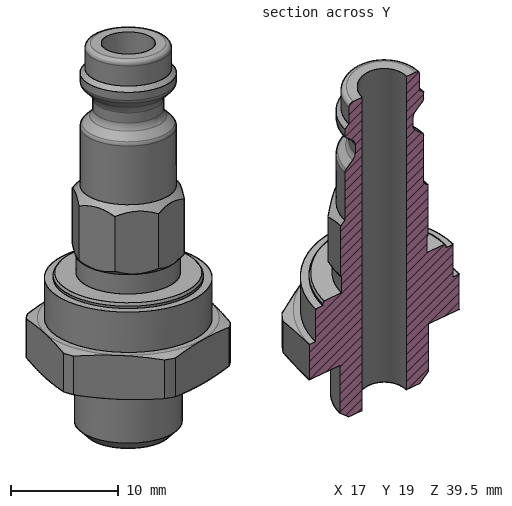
import cadquery as cq
import math

total_height = 39.5
hex_bottom = 7.0
hex_top = 11.5
collar_top = 15.6
ring_top = 16.1
octagon_bottom = 18.1
plug_bottom = 25.05
groove_bottom = 32.43
groove_top = 34.3
lip_top = 36.95

bore_diameter = 5.0
groove_diameter = 6.6
tip_diameter = 8.05
plug_diameter = 8.95
neck_diameter = 9.7
thread_diameter = 10.05
ring_diameter = 14.0
collar_diameter = 15.6

octagon_across_flats = 9.9
hex_across_flats = 17.0
hex_corner_diameter = 19.0
hex_chamfer_start_diameter = 16.9
hex_chamfer_angle = 15.0

thread_chamfer = 1.0
ring_chamfer_width = 0.15
ring_chamfer_height = 0.28
tip_round = 0.5
lip_chamfer_height = 0.45
groove_edge_round = 0.5
groove_root_round = 1.0


def cylinder(diameter, bottom, top):
    return cq.Workplane("XY").workplane(offset=bottom).circle(diameter / 2).extrude(top - bottom)


def prism(sides, across_flats, bottom, top):
    """Regular prism with flats facing +X and -X."""
    corner_diameter = across_flats / math.cos(math.pi / sides)
    blank = cq.Workplane("XY").workplane(offset=bottom).polygon(sides, corner_diameter)
    return blank.extrude(top - bottom).rotate((0, 0, 0), (0, 0, 1), 180 / sides)


def revolve_profile(points):
    """Solid of revolution about Z from (radius, height) points."""
    return cq.Workplane("XZ").polyline(points).close().revolve(360, (0, 0), (0, 1))


def double_cone(bottom_diameter, bottom, bottom_rise, middle_radius, top_diameter, top, top_drop):
    """Turned envelope that tapers at both ends."""
    return revolve_profile([
        (0, bottom),
        (bottom_diameter / 2, bottom),
        (middle_radius, bottom + bottom_rise),
        (middle_radius, top - top_drop),
        (top_diameter / 2, top),
        (0, top),
    ])


def make_thread_end():
    return cylinder(thread_diameter, 0, hex_bottom).faces("<Z").chamfer(thread_chamfer)


def make_hex():
    radial_width = (hex_corner_diameter - hex_chamfer_start_diameter) / 2
    rise = radial_width * math.tan(math.radians(hex_chamfer_angle))
    envelope = double_cone(
        hex_chamfer_start_diameter, hex_bottom, rise,
        hex_corner_diameter / 2,
        hex_chamfer_start_diameter, hex_top, rise,
    )
    return prism(6, hex_across_flats, hex_bottom, hex_top).intersect(envelope)


def make_collar():
    collar = cylinder(collar_diameter, hex_top, collar_top)
    ring = cylinder(ring_diameter, collar_top, ring_top)
    ring = ring.faces(">Z").edges().chamfer(ring_chamfer_height, ring_chamfer_width)
    return collar.union(ring)


def make_octagon():
    """Octagon with 45 degree cones: down to the neck below and to the plug above."""
    corner_radius = octagon_across_flats / 2 / math.cos(math.pi / 8)
    bottom_rise = corner_radius - neck_diameter / 2
    top_drop = corner_radius - plug_diameter / 2
    envelope = double_cone(
        neck_diameter, octagon_bottom, bottom_rise,
        corner_radius,
        plug_diameter, plug_bottom, top_drop,
    )
    return prism(8, octagon_across_flats, octagon_bottom, plug_bottom).intersect(envelope)


def rounded_at(plug, diameter, height, radius):
    """Round the circular edge of the given diameter and height."""
    slack = 0.05
    reach = diameter / 2 + slack
    box = cq.selectors.BoxSelector(
        (-reach, -reach, height - slack), (reach, reach, height + slack), boundingbox=True
    )
    return plug.edges(box).edges("%CIRCLE").fillet(radius)


def make_plug():
    """Coupling plug with a 45 degree locking groove and a lip below its tip."""
    groove_depth = (plug_diameter - groove_diameter) / 2
    lower_edge = groove_bottom - groove_depth
    upper_edge = groove_top + groove_depth
    profile = [
        (0, plug_bottom),
        (plug_diameter / 2, plug_bottom),
        (plug_diameter / 2, lower_edge),
        (groove_diameter / 2, groove_bottom),
        (groove_diameter / 2, groove_top),
        (plug_diameter / 2, upper_edge),
        (plug_diameter / 2, lip_top - lip_chamfer_height),
        (tip_diameter / 2, lip_top),
        (tip_diameter / 2, total_height),
        (0, total_height),
    ]
    plug = revolve_profile(profile)
    for height in (groove_bottom, groove_top):
        plug = rounded_at(plug, groove_diameter, height, groove_root_round)
    for height in (lower_edge, upper_edge):
        plug = rounded_at(plug, plug_diameter, height, groove_edge_round)
    return plug.faces(">Z").edges().fillet(tip_round)


neck = cylinder(neck_diameter, ring_top, octagon_bottom)
bore = cylinder(bore_diameter, 0, total_height)

result = (
    make_thread_end()
    .union(make_hex())
    .union(make_collar())
    .union(neck)
    .union(make_octagon())
    .union(make_plug())
    .cut(bore)
)